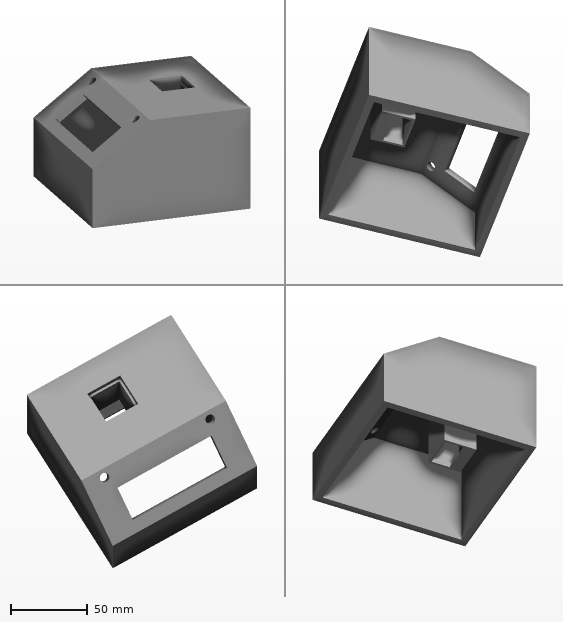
import cadquery as cq
import math

width = 110.0
depth = 110.3
height = 70.0
wall = 5.0
front_height = 40.8
rear_depth = 70.0

front_y = -depth / 2
back_y = depth / 2
seam_y = back_y - rear_depth
left_x = -width / 2
right_x = width / 2
inner_width = width - 2 * wall

slope_run = depth - rear_depth
slope_rise = height - front_height
slope_length = math.hypot(slope_run, slope_rise)
slope_angle = math.degrees(math.atan2(slope_rise, slope_run))

window_left_margin = 19.6
window_width = 71.7
window_front_margin = 8.6
window_length = 24.8
hole_diameter = 6.5
hole_side_margin = 14.8
hole_up_slope = 43.7

opening_left_margin = 34.4
opening_back_margin = 19.6
opening_width = 25.0
opening_length = 23.0
opening_left_x = left_x + opening_left_margin
opening_front_y = back_y - opening_back_margin - opening_length
socket_wall = 1.5
socket_height = 35.0
socket_floor = 1.5
socket_shelf = 6.5


def block(x, y, z, size_x, size_y, size_z):
    """Box located by its lowest X, Y and Z corner."""
    return cq.Workplane("XY").box(size_x, size_y, size_z, centered=False).translate((x, y, z))


def place_on_slope(shape):
    """Move a shape from flat coordinates (Y up the slope, Z outward) onto the slope."""
    tilted = shape.rotate((0, 0, 0), (1, 0, 0), slope_angle)
    return tilted.translate((0, front_y, front_height))


def make_panel_blank():
    return place_on_slope(block(left_x, 0, -wall, width, slope_length, wall))


def make_sloped_panel():
    window = block(
        left_x + window_left_margin, window_front_margin, -wall,
        window_width, window_length, wall,
    )
    hole_x = right_x - hole_side_margin
    holes = (
        cq.Workplane("XY")
        .pushPoints([(-hole_x, hole_up_slope), (hole_x, hole_up_slope)])
        .circle(hole_diameter / 2)
        .extrude(-wall)
    )
    return make_panel_blank().cut(place_on_slope(window)).cut(place_on_slope(holes))


def make_rear_housing():
    """Roof, back and rear side walls, open at the front and bottom."""
    shell = block(left_x, seam_y, 0, width, rear_depth, height)
    cavity = block(left_x + wall, seam_y, 0, inner_width, rear_depth - wall, height - wall)
    opening = block(
        opening_left_x, opening_front_y, height - wall,
        opening_width, opening_length, wall,
    )
    return shell.cut(cavity).cut(opening).cut(make_panel_blank())


def make_socket():
    """Rectangular tube below the roof, with a shelf along the back of its lower end."""
    bottom_z = height - wall - socket_height
    inside_width = opening_width - 2 * socket_wall
    inside_length = opening_length - 2 * socket_wall
    inside_x = opening_left_x + socket_wall
    inside_y = opening_front_y + socket_wall
    outside = block(
        opening_left_x, opening_front_y, bottom_z,
        opening_width, opening_length, socket_height,
    )
    pocket = block(
        inside_x, inside_y, bottom_z + socket_floor,
        inside_width, inside_length, socket_height - socket_floor,
    )
    outlet = block(
        inside_x, inside_y, bottom_z,
        inside_width, inside_length - socket_shelf, socket_floor,
    )
    return outside.cut(pocket).cut(outlet)


def make_front_wall():
    plate = block(left_x + wall, front_y, 0, inner_width, wall, front_height)
    return plate.cut(make_panel_blank())


def make_corner_post(x):
    return block(x, front_y, 0, wall, wall, front_height).cut(make_panel_blank())


def make_front_side(x):
    """Side wall between a corner post and the rear housing, below the sloped panel."""
    post_back_y = front_y + wall
    post_back_z = front_height + wall * slope_rise / slope_run
    outline = [(post_back_y, 0), (seam_y, 0), (seam_y, height), (post_back_y, post_back_z)]
    plate = cq.Workplane("YZ").polyline(outline).close().extrude(wall).translate((x, 0, 0))
    return plate.cut(make_panel_blank())


rear_housing = make_rear_housing()
sloped_panel = make_sloped_panel()
front_wall = make_front_wall()
socket = make_socket()

side_positions = [left_x, right_x - wall]
corner_posts = [make_corner_post(x).val() for x in side_positions]
front_sides = [make_front_side(x).val() for x in side_positions]

result = cq.Compound.makeCompound([
    rear_housing.val(),
    sloped_panel.val(),
    front_wall.val(),
    socket.val(),
    *corner_posts,
    *front_sides,
])